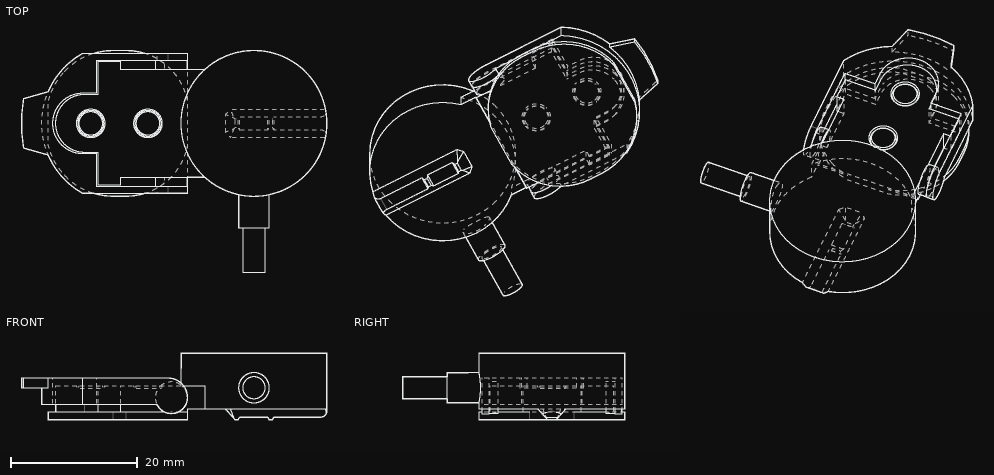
import cadquery as cq
import math


HEAD_DIAMETER = 23.0
HEAD_RADIUS = HEAD_DIAMETER / 2
TOTAL_HEIGHT = 10.5
HEAD_BOTTOM = 1.7
CABLE_Z = 5.05
SLEEVE_DIAMETER = 4.8
SLEEVE_PROJECTION = 5.0
CABLE_DIAMETER = 3.5
CABLE_PROJECTION = 7.0

KEEL_LEFT = -4.5
KEEL_HALF_WIDTH = 2.2
KEEL_CORNER = 0.8
KEEL_DRAFT = 42.0
KEEL_FLOOR = 0.4
KEEL_END_RADIUS = 1.0
FIRST_RIDGE_RIGHT = -2.5
SECOND_RIDGE_X = 2.65
RIDGE_TIP_WIDTH = 0.5
RIDGE_FLARE = 0.25

HINGE_X = -13.0
HINGE_Z = 3.5
PIN_DIAMETER = 5.0
EAR_RADIUS = 2.55
EAR_RIGHT = HINGE_X + EAR_RADIUS

BASE_LEFT = -32.4
BASE_RIGHT = EAR_RIGHT
BASE_SIDE_CENTER_X = -21.17
BASE_THICKNESS = 1.25
BASE_HALF_WIDTH = HEAD_RADIUS
BASE_END_HALF_FLAT = 3.5
BASE_SIDE_HALF_FLAT = 1.0

BODY_TOP = 5.3
NOSE_X = -26.67
NOSE_RADIUS = 4.57
SHOULDER_LEFT = -24.56
SHOULDER_RIGHT = -21.05
SHOULDER_HALF_WIDTH = 9.72
TANG_HALF_WIDTH = 8.5
RIVET_PITCH = 9.0
FIRST_RIVET_X = -25.7
RIVET_X = (FIRST_RIVET_X, FIRST_RIVET_X + RIVET_PITCH)
RIVET_GROOVE_DIAMETER = 4.5
RIVET_DIAMETER = 3.7
RIVET_GROOVE_DEPTH = 0.4

LEVER_TOP = 6.6
LEVER_BOTTOM = 2.4
LEVER_HALF_WIDTH = 11.03
LEVER_ARC_X = -20.8
LEVER_ARC_RADIUS = 12.65
SIDE_CLEARANCE = 0.2
END_CLEARANCE = 0.27
EAR_TOP_RADIUS = LEVER_TOP - HINGE_Z

TAB_BOTTOM = 4.97
TAB_TIP_X = -36.64
TAB_CORNER_X = -36.3
TAB_TIP_HALF_WIDTH = 3.9
TAB_ROOT_X = -32.4
TAB_ROOT_HALF_WIDTH = 5.0


def block(x_min, x_max, half_width, z_min, z_max):
    """Box placed symmetrically about the XZ plane."""
    size = (x_max - x_min, 2 * half_width, z_max - z_min)
    return cq.Workplane("XY").box(*size, centered=False).translate((x_min, -half_width, z_min))


def disc(x, radius, z_min, z_max):
    """Upright cylinder on the part's middle plane."""
    return cq.Workplane("XY", origin=(x, 0, z_min)).circle(radius).extrude(z_max - z_min)


def cross_cylinder(x, z, radius, y_start, y_end):
    """Cylinder along Y from y_start towards a lower y_end."""
    return cq.Workplane("XZ", origin=(x, y_start, z)).circle(radius).extrude(y_start - y_end)


def side_arc_radius(run):
    """Radius of the base arc tangent to a straight side and ending `run` further along X."""
    rise = BASE_HALF_WIDTH - BASE_END_HALF_FLAT
    return (run**2 + rise**2) / (2 * rise)


def make_base():
    """Plate with straight ends and sides joined by arcs tangent to the sides."""
    side_left = BASE_SIDE_CENTER_X - BASE_SIDE_HALF_FLAT
    side_right = BASE_SIDE_CENTER_X + BASE_SIDE_HALF_FLAT
    left_radius = side_arc_radius(side_left - BASE_LEFT)
    right_radius = side_arc_radius(BASE_RIGHT - side_right)
    return (
        cq.Workplane("XY")
        .moveTo(BASE_LEFT, -BASE_END_HALF_FLAT)
        .lineTo(BASE_LEFT, BASE_END_HALF_FLAT)
        .radiusArc((side_left, BASE_HALF_WIDTH), left_radius)
        .lineTo(side_right, BASE_HALF_WIDTH)
        .radiusArc((BASE_RIGHT, BASE_END_HALF_FLAT), right_radius)
        .lineTo(BASE_RIGHT, -BASE_END_HALF_FLAT)
        .radiusArc((side_right, -BASE_HALF_WIDTH), right_radius)
        .lineTo(side_left, -BASE_HALF_WIDTH)
        .radiusArc((BASE_LEFT, -BASE_END_HALF_FLAT), left_radius)
        .close()
        .extrude(BASE_THICKNESS)
    )


def make_rivet_groove(x):
    """Ring with a V section that outlines a flush rivet head."""
    outer_radius = RIVET_GROOVE_DIAMETER / 2
    inner_radius = RIVET_DIAMETER / 2
    middle_radius = (outer_radius + inner_radius) / 2
    section = [
        (inner_radius, 0),
        (outer_radius, 0),
        (middle_radius, -RIVET_GROOVE_DEPTH),
    ]
    groove = cq.Workplane("XZ").polyline(section).close().revolve(360, (0, 0), (0, 1))
    return groove.translate((x, 0, BODY_TOP))


def make_body():
    """Round-nosed body with shoulders, its tang under the head and two ringed rivets."""
    body = disc(NOSE_X, NOSE_RADIUS, BASE_THICKNESS, BODY_TOP)
    body = body.union(block(NOSE_X, SHOULDER_RIGHT, NOSE_RADIUS, BASE_THICKNESS, BODY_TOP))
    body = body.union(
        block(SHOULDER_LEFT, SHOULDER_RIGHT, SHOULDER_HALF_WIDTH, BASE_THICKNESS, BODY_TOP)
    )
    body = body.union(block(SHOULDER_RIGHT, BASE_RIGHT, TANG_HALF_WIDTH, BASE_THICKNESS, BODY_TOP))
    body = body.union(block(BASE_RIGHT, 0, TANG_HALF_WIDTH, HEAD_BOTTOM, BODY_TOP))
    for x in RIVET_X:
        body = body.cut(make_rivet_groove(x))
    return body


def make_head():
    """Round head with the cable and its sleeve leaving towards -Y."""
    head = disc(0, HEAD_RADIUS, HEAD_BOTTOM, TOTAL_HEIGHT)
    sleeve_end = -HEAD_RADIUS - SLEEVE_PROJECTION
    cable_end = sleeve_end - CABLE_PROJECTION
    head = head.union(cross_cylinder(0, CABLE_Z, SLEEVE_DIAMETER / 2, 0, sleeve_end))
    return head.union(cross_cylinder(0, CABLE_Z, CABLE_DIAMETER / 2, 0, cable_end))


def make_keel():
    """Tapered bar under the head, trimmed to the head's rim and rounded at its right end."""
    bar_right = 2 * HEAD_RADIUS
    corner_x = KEEL_LEFT + KEEL_CORNER
    corner_y = KEEL_HALF_WIDTH - KEEL_CORNER
    plan = [
        (KEEL_LEFT, -corner_y),
        (KEEL_LEFT, corner_y),
        (corner_x, KEEL_HALF_WIDTH),
        (bar_right, KEEL_HALF_WIDTH),
        (bar_right, -KEEL_HALF_WIDTH),
        (corner_x, -KEEL_HALF_WIDTH),
    ]
    bar = (
        cq.Workplane("XY", origin=(0, 0, HEAD_BOTTOM))
        .polyline(plan)
        .close()
        .extrude(-HEAD_BOTTOM, taper=KEEL_DRAFT)
    )
    half_tip = RIDGE_TIP_WIDTH / 2
    side_profile = (
        cq.Workplane("XZ", origin=(0, KEEL_HALF_WIDTH, 0))
        .moveTo(KEEL_LEFT, HEAD_BOTTOM)
        .lineTo(KEEL_LEFT, 0)
        .lineTo(FIRST_RIDGE_RIGHT, 0)
        .lineTo(FIRST_RIDGE_RIGHT + RIDGE_FLARE, KEEL_FLOOR)
        .lineTo(SECOND_RIDGE_X - half_tip - RIDGE_FLARE, KEEL_FLOOR)
        .lineTo(SECOND_RIDGE_X - half_tip, 0)
        .lineTo(SECOND_RIDGE_X + half_tip, 0)
        .lineTo(SECOND_RIDGE_X + half_tip + RIDGE_FLARE, KEEL_FLOOR)
        .lineTo(HEAD_RADIUS - KEEL_END_RADIUS, KEEL_FLOOR)
        .radiusArc((HEAD_RADIUS, KEEL_FLOOR + KEEL_END_RADIUS), -KEEL_END_RADIUS)
        .lineTo(HEAD_RADIUS, HEAD_BOTTOM)
        .close()
        .extrude(2 * KEEL_HALF_WIDTH)
    )
    return bar.intersect(side_profile).intersect(disc(0, HEAD_RADIUS, 0, HEAD_BOTTOM))


def make_lever_cutout():
    """Clearance around the body's nose and shoulders, open towards the hinge."""
    nose_x = NOSE_X - END_CLEARANCE
    nose_radius = NOSE_RADIUS + SIDE_CLEARANCE
    shoulder_x = SHOULDER_LEFT - END_CLEARANCE
    shoulder_half_width = SHOULDER_HALF_WIDTH + SIDE_CLEARANCE
    cutout = disc(nose_x, nose_radius, 0, LEVER_TOP)
    cutout = cutout.union(block(nose_x, shoulder_x, nose_radius, 0, LEVER_TOP))
    return cutout.union(block(shoulder_x, 0, shoulder_half_width, 0, LEVER_TOP))


def make_lever():
    """Round-ended lever with two hinge ears, cut out around the body."""
    arc_run = math.sqrt(LEVER_ARC_RADIUS**2 - LEVER_HALF_WIDTH**2)
    shoulder_x = LEVER_ARC_X - arc_run
    plan = (
        cq.Workplane("XY")
        .moveTo(EAR_RIGHT, -LEVER_HALF_WIDTH)
        .lineTo(shoulder_x, -LEVER_HALF_WIDTH)
        .threePointArc((LEVER_ARC_X - LEVER_ARC_RADIUS, 0), (shoulder_x, LEVER_HALF_WIDTH))
        .lineTo(EAR_RIGHT, LEVER_HALF_WIDTH)
        .close()
        .extrude(LEVER_TOP)
    )
    ear_start = HINGE_X - math.sqrt(EAR_RADIUS**2 - (HINGE_Z - LEVER_BOTTOM) ** 2)
    lever_left = LEVER_ARC_X - LEVER_ARC_RADIUS
    side_profile = (
        cq.Workplane("XZ", origin=(0, LEVER_HALF_WIDTH, 0))
        .moveTo(lever_left, LEVER_BOTTOM)
        .lineTo(ear_start, LEVER_BOTTOM)
        .threePointArc((HINGE_X, HINGE_Z - EAR_RADIUS), (EAR_RIGHT, HINGE_Z))
        .radiusArc((EAR_RIGHT - EAR_TOP_RADIUS, LEVER_TOP), -EAR_TOP_RADIUS)
        .lineTo(lever_left, LEVER_TOP)
        .close()
        .extrude(2 * LEVER_HALF_WIDTH)
    )
    return plan.intersect(side_profile).cut(make_lever_cutout())


def make_tab():
    """Thumb tab with a slightly bowed tip and tapering sides."""
    inner_x = NOSE_X - END_CLEARANCE
    tab = (
        cq.Workplane("XY", origin=(0, 0, TAB_BOTTOM))
        .moveTo(inner_x, -TAB_ROOT_HALF_WIDTH)
        .lineTo(TAB_ROOT_X, -TAB_ROOT_HALF_WIDTH)
        .lineTo(TAB_CORNER_X, -TAB_TIP_HALF_WIDTH)
        .threePointArc((TAB_TIP_X, 0), (TAB_CORNER_X, TAB_TIP_HALF_WIDTH))
        .lineTo(TAB_ROOT_X, TAB_ROOT_HALF_WIDTH)
        .lineTo(inner_x, TAB_ROOT_HALF_WIDTH)
        .close()
        .extrude(LEVER_TOP - TAB_BOTTOM)
    )
    return tab.cut(make_lever_cutout())


def make_hinge_pins():
    """Pins bridging the gap between the tang and each lever ear."""
    ear_inside = SHOULDER_HALF_WIDTH + SIDE_CLEARANCE
    pin = cross_cylinder(HINGE_X, HINGE_Z, PIN_DIAMETER / 2, ear_inside, TANG_HALF_WIDTH)
    return pin.union(pin.mirror("XZ"))


result = (
    make_base()
    .union(make_body())
    .union(make_head())
    .union(make_keel())
    .union(make_lever())
    .union(make_tab())
    .union(make_hinge_pins())
)